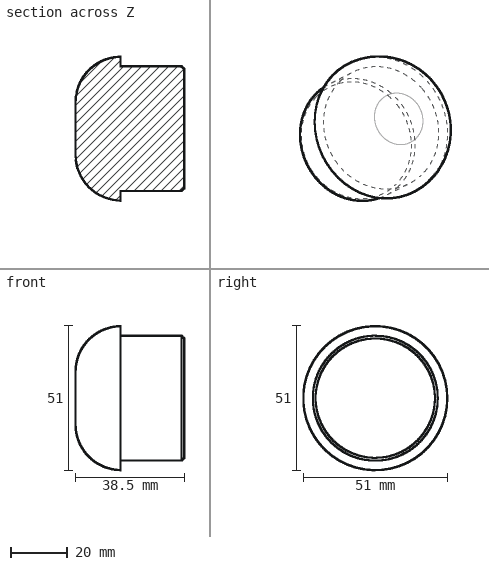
import cadquery as cq

total_length = 38.5
head_length = 16.0
head_diameter = 51.0
nose_flat_diameter = 18.6
shank_diameter = 44.2
chamfer_size = 1.0

head_radius = head_diameter / 2
nose_flat_radius = nose_flat_diameter / 2
shank_radius = shank_diameter / 2
chamfer_start_x = total_length - chamfer_size


def make_head():
    """Domed head: flat nose and a crown that leaves the nose tangentially."""
    return (
        cq.Workplane("XY")
        .lineTo(0, nose_flat_radius)
        .tangentArcPoint((head_length, head_radius), relative=False)
        .lineTo(head_length, 0)
        .close()
        .revolve(360, (0, 0, 0), (1, 0, 0))
    )


def make_shank():
    """Cylindrical shank behind the head, with a chamfered free end."""
    return (
        cq.Workplane("XY")
        .moveTo(head_length, 0)
        .lineTo(head_length, shank_radius)
        .lineTo(chamfer_start_x, shank_radius)
        .lineTo(total_length, shank_radius - chamfer_size)
        .lineTo(total_length, 0)
        .close()
        .revolve(360, (0, 0, 0), (1, 0, 0))
    )


result = make_head().union(make_shank())